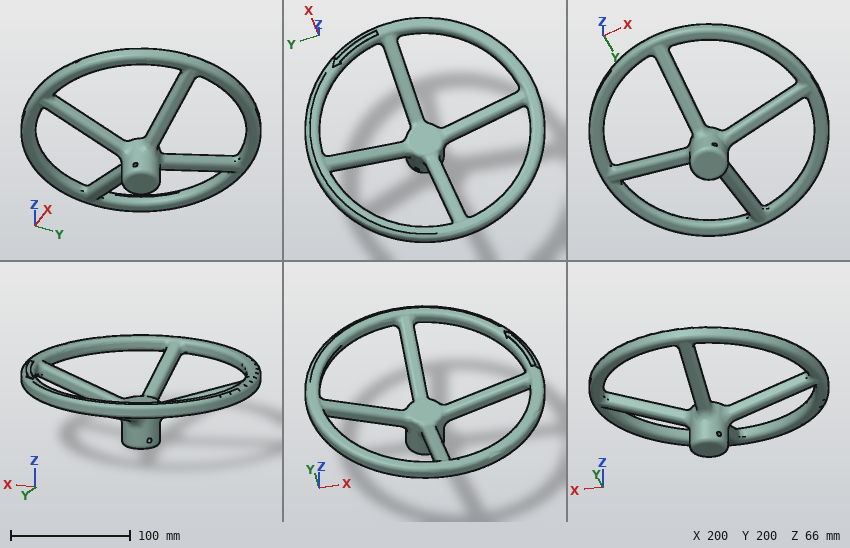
import cadquery as cq
import math

outer_radius = 100.0
bar_size = 12.0
bar_corner = 4.0
spoke_count = 4
spoke_slope = 20.0

hub_radius = 16.0
hub_top = -27.2
hub_bottom = -65.5
hub_top_round = 3.0
hub_bottom_round = 4.0
hub_blend = 10.0
rim_blend = 5.0

pin_hole_diameter = 4.0
pin_hole_height = 8.0
pin_hole_angle = -45.0

arrow_raise = 0.5
arrow_start_angle = 5.0
arrow_head_angle = 30.3
arrow_tip_angle = 34.8
arrow_stem_width = 3.8
arrow_head_width = 7.2
arrow_depth = 3.0

rim_seam_angle = 250.0
touch_tolerance = 0.002

rim_radius = outer_radius - bar_size / 2
rim_center_z = -bar_size / 2
spoke_length = rim_radius / math.cos(math.radians(spoke_slope))
spoke_inner_z = rim_center_z - rim_radius * math.tan(math.radians(spoke_slope))


def rounded_square():
    """Section shared by the rim and the spokes."""
    return cq.Sketch().rect(bar_size, bar_size).vertices().fillet(bar_corner)


def make_rim():
    """Ring of the bar section around Z."""
    return (
        cq.Workplane("XZ", origin=(rim_radius, 0, rim_center_z))
        .placeSketch(rounded_square())
        .revolve(360, (-rim_radius, 0, 0), (-rim_radius, 1, 0))
        .rotate((0, 0, 0), (0, 0, 1), rim_seam_angle)
    )


def make_hub():
    """Solid cylinder with both end edges rounded."""
    return (
        cq.Workplane("XY", origin=(0, 0, hub_bottom))
        .circle(hub_radius)
        .extrude(hub_top - hub_bottom)
        .faces("<Z").edges().fillet(hub_bottom_round)
        .faces(">Z").edges().fillet(hub_top_round)
    )


def make_spoke(angle):
    """Bar climbing from the hub axis to the centre of the rim section."""
    slope = math.radians(spoke_slope)
    start = cq.Plane(
        origin=(0, 0, spoke_inner_z),
        xDir=(0, 1, 0),
        normal=(math.cos(slope), 0, math.sin(slope)),
    )
    bar = cq.Workplane(start).placeSketch(rounded_square()).extrude(spoke_length)
    return bar.rotate((0, 0, 0), (0, 0, 1), angle)



def blend_joint(body, first, second, radius):
    """Fillet the edges of body that lie where the skins of two parts meet."""
    skins = [part.val().Shells()[0] for part in (first, second)]

    def on_both_skins(edge):
        x, y, z = edge.positionAt(0.5).toTuple()
        middle = cq.Vertex.makeVertex(x, y, z)
        return all(skin.distance(middle) < touch_tolerance for skin in skins)

    joint = [edge for edge in body.edges().vals() if on_both_skins(edge)]
    return body.newObject(joint).fillet(radius)


def make_arrow():
    """Curved arrow following the rim counter-clockwise, standing proud of its flat top."""

    def rim_point(offset, angle):
        turn = math.radians(angle)
        reach = rim_radius + offset
        return (reach * math.cos(turn), reach * math.sin(turn))

    half_stem = arrow_stem_width / 2
    half_head = arrow_head_width / 2
    middle_angle = (arrow_start_angle + arrow_head_angle) / 2
    return (
        cq.Workplane("XY", origin=(0, 0, -arrow_depth))
        .moveTo(*rim_point(half_stem, arrow_start_angle))
        .threePointArc(rim_point(half_stem, middle_angle), rim_point(half_stem, arrow_head_angle))
        .lineTo(*rim_point(half_head, arrow_head_angle))
        .lineTo(*rim_point(0, arrow_tip_angle))
        .lineTo(*rim_point(-half_head, arrow_head_angle))
        .lineTo(*rim_point(-half_stem, arrow_head_angle))
        .threePointArc(rim_point(-half_stem, middle_angle), rim_point(-half_stem, arrow_start_angle))
        .close()
        .extrude(arrow_depth + arrow_raise)
    )


def make_pin_hole():
    """Cross hole through the whole hub, just above its bottom face."""
    half_length = 1.5 * hub_radius
    return (
        cq.Workplane("YZ", origin=(0, 0, hub_bottom + pin_hole_height))
        .circle(pin_hole_diameter / 2)
        .extrude(half_length, both=True)
        .rotate((0, 0, 0), (0, 0, 1), pin_hole_angle)
    )


hub = make_hub()
rim = make_rim()
spokes = [make_spoke(360 / spoke_count * index) for index in range(spoke_count)]

body = hub
for spoke in spokes:
    body = blend_joint(body.union(spoke), hub, spoke, hub_blend)

body = body.union(rim)
for spoke in spokes:
    body = blend_joint(body, rim, spoke, rim_blend)

result = body.union(make_arrow()).cut(make_pin_hole())